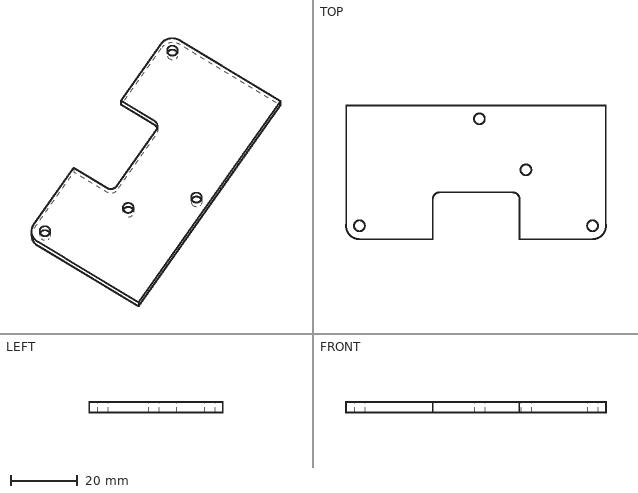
import cadquery as cq
import math

length = 78.0
width = 40.2
thickness = 3.2

corner_radius = 4.05
corner_height = 4.6

notch_left = 26.1
notch_right = 52.05
notch_depth = 14.05
notch_radius = 2.0

hole_diameter = 3.2
hole_inset = 4.05
back_hole_x = 40.0
inner_hole_x = 54.0
inner_hole_y = 20.8
hole_centers = [
    (hole_inset, hole_inset),
    (length - hole_inset, hole_inset),
    (back_hole_x, width - hole_inset),
    (inner_hole_x, inner_hole_y),
]


def make_plate():
    """Flat plate with its two front corners rounded.

    Each corner arc is tangent to the front edge, passes its widest point and
    meets the straight side just above it, so the sides sit slightly inside the full length.
    """
    rise_above_center = corner_height - corner_radius
    side_inset = corner_radius - math.sqrt(corner_radius**2 - rise_above_center**2)
    left_side = side_inset
    right_side = length - side_inset
    return (
        cq.Workplane("XY")
        .moveTo(left_side, width)
        .lineTo(left_side, corner_height)
        .radiusArc((corner_radius, 0), -corner_radius)
        .lineTo(length - corner_radius, 0)
        .radiusArc((right_side, corner_height), -corner_radius)
        .lineTo(right_side, width)
        .close()
        .extrude(thickness)
    )


def make_notch():
    """Cutter for the front notch, with rounded inner corners."""
    notch = (
        cq.Workplane("XY")
        .box(notch_right - notch_left, notch_depth, thickness, centered=False)
        .translate((notch_left, 0, 0))
    )
    return notch.edges("|Z and >Y").fillet(notch_radius)


def make_holes():
    """Cutters for all the through holes."""
    return (
        cq.Workplane("XY")
        .pushPoints(hole_centers)
        .circle(hole_diameter / 2)
        .extrude(thickness)
    )


result = make_plate().cut(make_notch()).cut(make_holes())